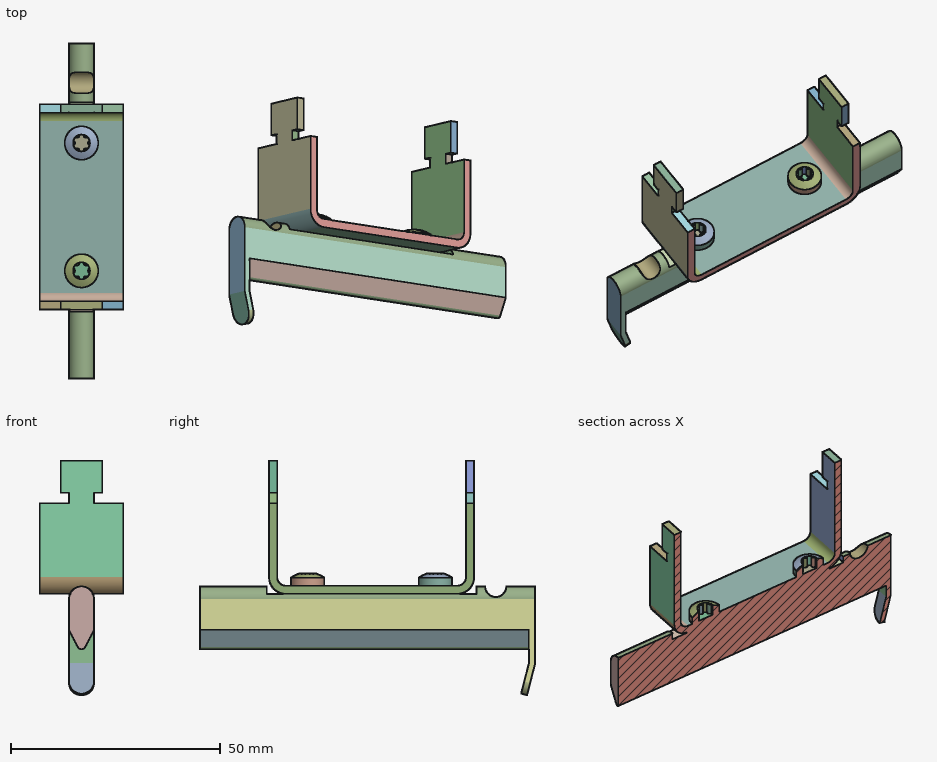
import cadquery as cq
import math


bar_length = 80.0
bar_width = 6.0
bar_depth = 15.0
bevel_start_depth = 10.4
bar_tip_radius = 1.0
bar_end = bar_length / 2
crown_radius = bar_width / 2

notch_radius = 2.5
notch_y = 30.6

tongue_thickness = 1.5
tongue_bend_depth = 18.5
tongue_tip_depth = 25.97
tongue_bend_angle = math.radians(14.3)
tongue_tip_radius = bar_width / 2

bracket_center_y = 0.97
bracket_length = 49.0
bracket_width = 20.0
bracket_height = 31.8
sheet_thickness = 2.0
bend_inner_radius = 2.0
bend_outer_radius = bend_inner_radius + sheet_thickness
seat_depth = 1.8
seat_clearance = 0.5

tab_width = 10.0
tab_height = 7.7
neck_width = 6.0
shoulder_drop = 10.1

screw_spacing = 30.5
head_radius = 4.0
head_rim_height = 1.9
head_height = 2.9
land_radius = 2.0
dome_radius = 6.75
lobe_count = 6
socket_valley_radius = 1.55
scallop_radius = 0.6
socket_depth = head_height

bracket_base_z = -seat_depth
bracket_top_z = bracket_base_z + bracket_height
base_top_z = bracket_base_z + sheet_thickness


def box_between(x_range, y_range, z_range):
    """Box spanning the given coordinate ranges."""
    lows, highs = zip(x_range, y_range, z_range)
    sizes = [high - low for low, high in zip(lows, highs)]
    return cq.Workplane("XY").box(*sizes, centered=False).translate(lows)


def make_bar():
    """Round-topped bar whose bevelled flanks meet in a rounded lower edge."""
    tip_center_z = -bar_depth + bar_tip_radius
    rise = -bevel_start_depth - tip_center_z
    flank_distance = math.hypot(crown_radius, rise)
    tangent_angle = math.atan2(rise, crown_radius) - math.acos(bar_tip_radius / flank_distance)
    tangent_x = bar_tip_radius * math.cos(tangent_angle)
    tangent_z = tip_center_z + bar_tip_radius * math.sin(tangent_angle)
    profile = (
        cq.Workplane("XZ", origin=(0, bar_end - tongue_thickness, 0))
        .moveTo(-crown_radius, -crown_radius)
        .threePointArc((0, 0), (crown_radius, -crown_radius))
        .lineTo(crown_radius, -bevel_start_depth)
        .lineTo(tangent_x, tangent_z)
        .threePointArc((0, -bar_depth), (-tangent_x, tangent_z))
        .lineTo(-crown_radius, -bevel_start_depth)
        .close()
    )
    return profile.extrude(bar_length - tongue_thickness)


def make_tongue():
    """End plate that continues below the bar, bends inward and ends in a half round."""
    bend_sin = math.sin(tongue_bend_angle)
    bend_cos = math.cos(tongue_bend_angle)
    lower_length = (tongue_tip_depth - tongue_bend_depth) / bend_cos
    straight_length = lower_length - tongue_tip_radius
    miter_rise = tongue_thickness * math.tan(tongue_bend_angle / 2)
    inner_y = bar_end - tongue_thickness
    outer_tip_y = bar_end - lower_length * bend_sin
    inner_tip_y = outer_tip_y - tongue_thickness * bend_cos
    inner_tip_z = -tongue_tip_depth + tongue_thickness * bend_sin

    bent_strip = (
        cq.Workplane("YZ")
        .polyline([
            (bar_end, 0),
            (bar_end, -tongue_bend_depth),
            (outer_tip_y, -tongue_tip_depth),
            (inner_tip_y, inner_tip_z),
            (inner_y, -tongue_bend_depth + miter_rise),
            (inner_y, 0),
        ])
        .close()
        .extrude(crown_radius, both=True)
    )
    upper_outline = (
        cq.Workplane("XZ", origin=(0, bar_end, 0))
        .moveTo(-crown_radius, -crown_radius)
        .threePointArc((0, 0), (crown_radius, -crown_radius))
        .lineTo(crown_radius, -tongue_bend_depth)
        .lineTo(-crown_radius, -tongue_bend_depth)
        .close()
        .extrude(tongue_thickness)
    )
    lower_outline = (
        cq.Workplane("XZ")
        .moveTo(-tongue_tip_radius, miter_rise)
        .lineTo(tongue_tip_radius, miter_rise)
        .lineTo(tongue_tip_radius, -straight_length)
        .threePointArc((0, -lower_length), (-tongue_tip_radius, -straight_length))
        .close()
        .extrude(tongue_thickness)
        .rotate((0, 0, 0), (1, 0, 0), -math.degrees(tongue_bend_angle))
        .translate((0, bar_end, -tongue_bend_depth))
    )
    return bent_strip.intersect(upper_outline.union(lower_outline))


def make_notch():
    """Cylinder across the crown, centred at crown height."""
    return (
        cq.Workplane("YZ")
        .center(notch_y, 0)
        .circle(notch_radius)
        .extrude(bar_width, both=True)
    )


def make_seat():
    """Flat recess in the crown that takes the bracket base."""
    half_length = bracket_length / 2 + seat_clearance
    return box_between(
        (-bar_width, bar_width),
        (bracket_center_y - half_length, bracket_center_y + half_length),
        (-seat_depth, seat_depth),
    )


def make_bracket():
    """Bent sheet with two upright legs, each topped by a T-shaped tab."""
    outer_half = bracket_length / 2
    outer = (
        box_between(
            (-bracket_width / 2, bracket_width / 2),
            (-outer_half, outer_half),
            (bracket_base_z, bracket_top_z),
        )
        .edges("|X and <Z")
        .fillet(bend_outer_radius)
    )
    inner_half = outer_half - sheet_thickness
    inner = (
        box_between(
            (-bracket_width / 2, bracket_width / 2),
            (-inner_half, inner_half),
            (base_top_z, bracket_top_z),
        )
        .edges("|X and <Z")
        .fillet(bend_inner_radius)
    )
    bracket = outer.cut(inner)

    shoulder_z = bracket_top_z - shoulder_drop
    tab_bottom_z = bracket_top_z - tab_height
    for side in (-1, 1):
        relief = (
            cq.Workplane("XZ")
            .polyline([
                (side * bracket_width / 2, bracket_top_z),
                (side * tab_width / 2, bracket_top_z),
                (side * tab_width / 2, tab_bottom_z),
                (side * neck_width / 2, tab_bottom_z),
                (side * neck_width / 2, shoulder_z),
                (side * bracket_width / 2, shoulder_z),
            ])
            .close()
            .extrude(bracket_length, both=True)
        )
        bracket = bracket.cut(relief)
    return bracket.translate((0, bracket_center_y, 0))


def make_socket():
    """Six-lobed recess: a cylinder with a scallop left standing between lobes."""
    socket = cq.Workplane("XY").circle(land_radius).extrude(socket_depth)
    scallops = (
        cq.Workplane("XY")
        .polarArray(socket_valley_radius + scallop_radius, 0, 360, lobe_count)
        .circle(scallop_radius)
        .extrude(socket_depth)
    )
    return socket.cut(scallops).translate((0, 0, head_height - socket_depth))


def make_screw_head():
    """Low cylinder with a domed top, a flat land and a socket."""
    dome_center_z = head_rim_height - math.sqrt(dome_radius**2 - head_radius**2)
    dome = cq.Workplane("XY").sphere(dome_radius).translate((0, 0, dome_center_z))
    head = cq.Workplane("XY").circle(head_radius).extrude(head_height)
    return head.intersect(dome).cut(make_socket())


result = make_bar().union(make_tongue())
result = result.cut(make_notch()).cut(make_seat())
result = result.union(make_bracket())
for side in (-1, 1):
    screw_y = bracket_center_y + side * screw_spacing / 2
    result = result.union(make_screw_head().translate((0, screw_y, base_top_z)))